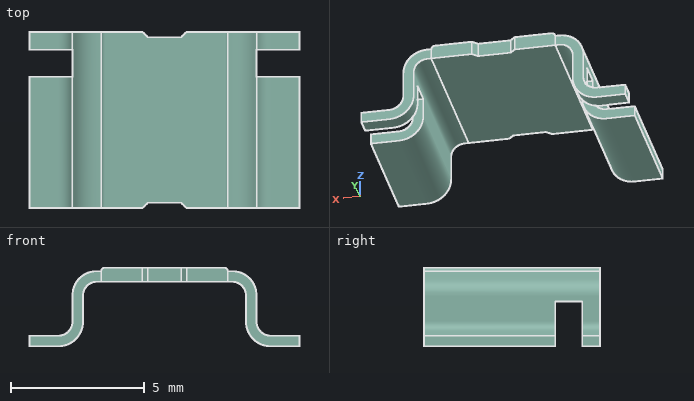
import cadquery as cq

LENGTH = 10.1
WIDTH = 6.6
HEIGHT = 2.95

PLATE_HALF_LENGTH = 2.37
PLATE_STEP = 0.13
PLATE_EDGE_RADIUS = 0.15
NOTCH_MOUTH = 1.65
NOTCH_DEPTH = 0.2

STRIP = 0.4
FOOT_REACH = 1.61
UPPER_INNER_RADIUS = 0.5
LOWER_INNER_RADIUS = 0.53
SLOT_WIDTH = 1.0
SLOT_TOP = 1.68
SLOT_MARGIN = 0.68

TIP = LENGTH / 2
BACK = WIDTH / 2
UPRIGHT_OUTER = TIP - FOOT_REACH
UPRIGHT_INNER = UPRIGHT_OUTER - STRIP
TERMINAL_TOP = HEIGHT - PLATE_STEP
PLATE_BOTTOM = TERMINAL_TOP - STRIP
NOTCH_FLOOR = NOTCH_MOUTH - 2 * NOTCH_DEPTH


def make_plate():
    """Plate with rounded long top edges and a notch in each Y end."""
    plate = (
        cq.Workplane("XY", origin=(0, 0, PLATE_BOTTOM))
        .box(2 * PLATE_HALF_LENGTH, WIDTH, HEIGHT - PLATE_BOTTOM, centered=(True, True, False))
        .faces(">Z").edges("|Y").fillet(PLATE_EDGE_RADIUS)
    )
    for end in (-1, 1):
        mouth_y = end * BACK
        floor_y = end * (BACK - NOTCH_DEPTH)
        notch = (
            cq.Workplane("XY", origin=(0, 0, PLATE_BOTTOM))
            .moveTo(-NOTCH_MOUTH / 2, mouth_y)
            .lineTo(-NOTCH_FLOOR / 2, floor_y)
            .lineTo(NOTCH_FLOOR / 2, floor_y)
            .lineTo(NOTCH_MOUTH / 2, mouth_y)
            .close()
            .extrude(HEIGHT - PLATE_BOTTOM)
        )
        plate = plate.cut(notch)
    return plate


def make_terminal(side):
    """Z-bent terminal on the given side (-1 or 1), with a slot across its foot and upright."""
    upper_outer_radius = UPPER_INNER_RADIUS + STRIP
    lower_outer_radius = LOWER_INNER_RADIUS + STRIP
    tip = side * TIP
    outer = side * UPRIGHT_OUTER
    inner = side * UPRIGHT_INNER
    root = side * PLATE_HALF_LENGTH
    upper_bend_x = outer - side * upper_outer_radius
    upper_bend_z = TERMINAL_TOP - upper_outer_radius
    lower_bend_x = inner + side * lower_outer_radius
    lower_bend_z = lower_outer_radius

    terminal = (
        cq.Workplane("XZ", origin=(0, BACK, 0))
        .moveTo(tip, 0)
        .lineTo(tip, STRIP)
        .lineTo(lower_bend_x, STRIP)
        .tangentArcPoint((outer, lower_bend_z), relative=False)
        .lineTo(outer, upper_bend_z)
        .tangentArcPoint((upper_bend_x, TERMINAL_TOP), relative=False)
        .lineTo(root, TERMINAL_TOP)
        .lineTo(root, PLATE_BOTTOM)
        .lineTo(upper_bend_x, PLATE_BOTTOM)
        .tangentArcPoint((inner, upper_bend_z), relative=False)
        .lineTo(inner, lower_bend_z)
        .tangentArcPoint((lower_bend_x, 0), relative=False)
        .close()
        .extrude(WIDTH)
    )
    slot_center_y = BACK - SLOT_MARGIN - SLOT_WIDTH / 2
    slot_length = TIP - UPRIGHT_INNER
    slot = (
        cq.Workplane("XY", origin=(side * (TIP + UPRIGHT_INNER) / 2, slot_center_y, 0))
        .box(slot_length, SLOT_WIDTH, SLOT_TOP, centered=(True, True, False))
    )
    return terminal.cut(slot)


plate = make_plate()
terminals = [make_terminal(side) for side in (-1, 1)]

result = cq.Compound.makeCompound([plate.val(), *[terminal.val() for terminal in terminals]])